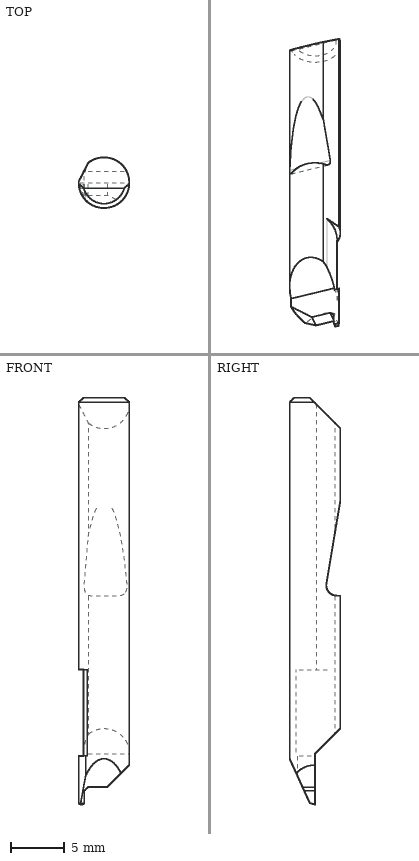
import cadquery as cq
import math

length = 38.1
radius = 4.75 / 2
reach = 2 * radius

chamfer = 0.42
top_slope_start_y = -0.5

flat_edge_y = 0.1
flat_back_y = 1.85

notch_bottom_z = 19.6
notch_top_z = 28.45
notch_radius = 0.95
notch_center_y = 2.02

relief_bottom_z = 4.57
relief_top_z = 12.65
relief_radius = 4.57
relief_depth = 0.45

rake_top_z = 4.75
heel_slope_y = -0.5
heel_slope_z = 0.15
heel_slope_top_z = 4.3
side_clearance_y = -1.65
shoulder_z = 1.65
shoulder_x = 0.3
blade_width = 0.55
blade_step_z = 1.3
tip_bevel_width = 0.23
tip_bevel_height = 0.1


def prism_x(points):
    """Cutter with a YZ outline, running through the whole bar along X."""
    return cq.Workplane("YZ").polyline(points).close().extrude(reach, both=True)


def top_slope():
    """45 degree cut falling towards the back of the clamping end."""
    run = reach - top_slope_start_y
    return prism_x([(top_slope_start_y, length), (reach, length - run), (reach, length)])


def orienting_flat():
    """Full-length flat between two points of the bar's circle."""
    edge_x = -math.sqrt(radius**2 - flat_edge_y**2)
    back_x = -math.sqrt(radius**2 - flat_back_y**2)
    outline = [(edge_x, flat_edge_y), (back_x, flat_back_y), (-reach, flat_back_y), (-reach, flat_edge_y)]
    return cq.Workplane("XY").polyline(outline).close().extrude(length)


def clamping_notch():
    """Long ramp tangent to a rounded floor, closed by a square lower wall."""
    center_z = notch_bottom_z + notch_radius
    rise = notch_top_z - center_z
    run = radius - notch_center_y
    tangent = math.atan2(rise, run) + math.acos(notch_radius / math.hypot(run, rise))
    middle = (tangent + 1.5 * math.pi) / 2

    def on_arc(angle):
        return (notch_center_y + notch_radius * math.cos(angle), center_z + notch_radius * math.sin(angle))

    return (
        cq.Workplane("YZ")
        .moveTo(radius, notch_top_z)
        .lineTo(*on_arc(tangent))
        .threePointArc(on_arc(middle), (notch_center_y, notch_bottom_z))
        .lineTo(reach, notch_bottom_z)
        .lineTo(reach, notch_top_z)
        .close()
        .extrude(reach, both=True)
    )


def side_relief():
    """Shallow side recess with a large-radius floor."""
    height = relief_top_z - relief_bottom_z
    center_x = relief_depth - radius + relief_radius
    base = cq.Workplane("XY").workplane(offset=relief_bottom_z)
    block = base.rect(2 * reach, 2 * reach).extrude(height)
    core = base.center(center_x, 0).circle(relief_radius).extrude(height)
    left_half = base.center(-reach / 2, 0).rect(reach, 2 * reach).extrude(height)
    return block.cut(core).intersect(left_half)


def rake_face():
    """Halves the bar at the tip and runs out through the back at 45 degrees."""
    return prism_x([(0, 0), (0, rake_top_z), (reach, rake_top_z + reach), (reach, 0)])


def heel_clearance():
    """Sloped front of the tip with a flatter clearance under the cutting edge."""
    return prism_x([
        (0, 0), (heel_slope_y, heel_slope_z), (-radius, heel_slope_top_z),
        (-reach, heel_slope_top_z), (-reach, -reach), (0, -reach),
    ])


def side_clearance():
    """Inclined side of the blade below the relief."""
    clearance_x = -math.sqrt(radius**2 - side_clearance_y**2)
    outline = [(-radius, 0), (clearance_x, side_clearance_y), (-reach, side_clearance_y), (-reach, 0)]
    return cq.Workplane("XY").polyline(outline).close().extrude(relief_bottom_z)


def blade_shoulder():
    """Leaves a narrow blade at the side and bevels the opposite corner."""
    blade_x = blade_width - radius
    step = shoulder_z - blade_step_z
    outline = [
        (blade_x - tip_bevel_width, 0), (blade_x, tip_bevel_height), (blade_x, blade_step_z),
        (blade_x + step, shoulder_z), (shoulder_x, shoulder_z),
        (reach, shoulder_z + reach - shoulder_x), (reach, 0),
    ]
    return cq.Workplane("XZ").polyline(outline).close().extrude(reach, both=True)


def tip_bevel():
    """Small bevel on the outer corner of the blade tip."""
    outline = [(-radius, 0), (tip_bevel_width - radius, 0), (-radius, tip_bevel_height)]
    return cq.Workplane("XZ").polyline(outline).close().extrude(reach, both=True)


bar = cq.Workplane("XY").circle(radius).extrude(length).faces(">Z").chamfer(chamfer)
cutters = [
    top_slope(), orienting_flat(), clamping_notch(), side_relief(), rake_face(),
    heel_clearance(), side_clearance(), blade_shoulder(), tip_bevel(),
]
for cutter in cutters:
    bar = bar.cut(cutter)

result = bar